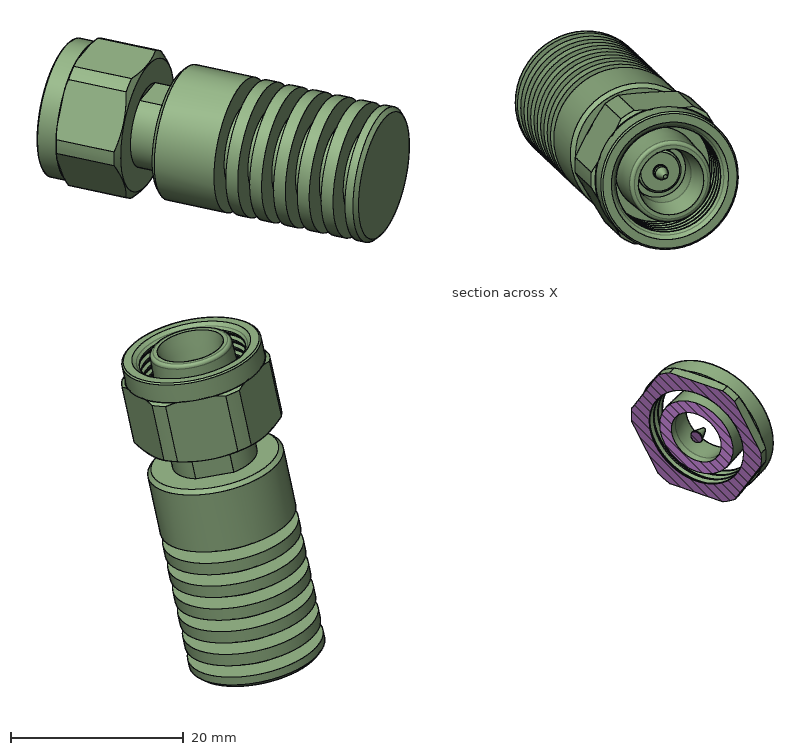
import cadquery as cq
import math


length = 40.8
sink_radius = 8.05
sink_start = 14.8
sink_core_radius = 5.0
sink_chamfer = 0.5
fin_count = 6
ribbed_length = 18.0
fin_pitch = ribbed_length / fin_count
fin_gap = fin_pitch / 2
fin_thickness = fin_pitch - fin_gap

nut_front = 0.55
flange_radius = 8.25
flange_end = 3.0
flange_bevel_length = 0.15
flange_bevel_depth = 0.2
nut_end = 11.0
hex_across_flats = 16.0
hex_corner_diameter = 17.5
hex_corner_radius = hex_corner_diameter / 2
hex_bevel_angle = 30.0
hex_bevel_length = 0.5
hex_front_bevel_length = 0.25
mouth_radius = 7.0
mouth_chamfer_length = 0.4
mouth_chamfer_depth = 0.45

thread_crest_radius = 6.3
thread_pitch = 0.98
thread_depth = 0.33
crest_width = 0.2
groove_count = 5
thread_root_radius = thread_crest_radius + thread_depth

mouth_chamfer_end = nut_front + mouth_chamfer_length
mouth_chamfer_radius = mouth_radius - mouth_chamfer_depth
first_crest = mouth_chamfer_end + mouth_chamfer_radius - thread_crest_radius

gasket_thickness = 0.8
gasket_front = first_crest + groove_count * thread_pitch + crest_width
gasket_end = gasket_front + gasket_thickness

sleeve_tip_radius = 4.85
sleeve_fillet = 0.45
neck_radius = sink_core_radius
neck_across_flats = 8.98
collar_end = 8.98
socket_mouth_radius = 3.9
socket_radius = 3.3
socket_taper_length = 3.43
socket_depth = 6.0

insulator_radius = 2.55
insulator_chamfer = 0.25
insulator_front = 4.98
insulator_end = collar_end
pin_radius = 0.85
pin_tip_radius = 0.25
pin_taper_radius = 0.78
pin_tip = 2.55
pin_taper_length = 1.65
pin_shoulder_length = 0.25
pin_shoulder = insulator_front - pin_shoulder_length


def revolve(profile):
    """Turn an (x, radius) profile about the X axis."""
    return profile.close().revolve(360, (0, 0, 0), (1, 0, 0))


def turned(points):
    """Turn a straight-sided (x, radius) outline about the X axis."""
    return revolve(cq.Workplane("XZ").polyline(points))


def bar(start, end, radius):
    """Plain cylinder along X."""
    return cq.Workplane("YZ", origin=(start, 0, 0)).circle(radius).extrude(end - start)


def tube(start, end, outer_radius, inner_radius):
    """Hollow cylinder along X."""
    ring = cq.Workplane("YZ", origin=(start, 0, 0)).circle(outer_radius).circle(inner_radius)
    return ring.extrude(end - start)


def make_heat_sink():
    sink = bar(sink_start, length, sink_radius).faces("<X or >X").chamfer(sink_chamfer)
    for index in range(fin_count):
        gap_end = length - fin_thickness - index * fin_pitch
        sink = sink.cut(tube(gap_end - fin_gap, gap_end, sink_radius, sink_core_radius))
    return sink


def make_nut_blank():
    """Round front flange joined to a hexagon whose corners are turned and bevelled."""
    flange = turned([
        (nut_front, 0),
        (nut_front, flange_radius - flange_bevel_depth),
        (nut_front + flange_bevel_length, flange_radius),
        (flange_end, flange_radius),
        (flange_end, 0),
    ])
    sharp_corner_diameter = hex_across_flats / math.cos(math.pi / 6)
    hexagon = cq.Workplane("YZ", origin=(flange_end, 0, 0)).polygon(6, sharp_corner_diameter)
    hexagon = hexagon.extrude(nut_end - flange_end)
    bevel_slope = 1 / math.tan(math.radians(hex_bevel_angle))
    envelope = turned([
        (flange_end, 0),
        (flange_end, hex_corner_radius - hex_front_bevel_length * bevel_slope),
        (flange_end + hex_front_bevel_length, hex_corner_radius),
        (nut_end - hex_bevel_length, hex_corner_radius),
        (nut_end, hex_corner_radius - hex_bevel_length * bevel_slope),
        (nut_end, 0),
    ])
    return flange.union(hexagon.intersect(envelope))


def make_nut_bore():
    """Chamfered mouth, grooved thread, collar chamber and neck clearance hole."""
    points = [
        (nut_front, 0),
        (nut_front, mouth_radius),
        (mouth_chamfer_end, mouth_chamfer_radius),
        (first_crest, thread_crest_radius),
    ]
    for index in range(groove_count):
        groove_start = first_crest + index * thread_pitch + crest_width
        groove_end = first_crest + (index + 1) * thread_pitch
        points += [
            (groove_start, thread_crest_radius),
            (groove_start + thread_depth, thread_root_radius),
            (groove_end - thread_depth, thread_root_radius),
            (groove_end, thread_crest_radius),
        ]
    points += [
        (collar_end, thread_crest_radius),
        (collar_end, neck_radius),
        (nut_end, neck_radius),
        (nut_end, 0),
    ]
    return turned(points)


def make_gasket():
    return tube(gasket_front, gasket_end, thread_crest_radius, neck_radius)


def make_body():
    fillet_middle = sleeve_fillet * (1 - math.sqrt(0.5))
    outer = revolve(
        cq.Workplane("XZ")
        .moveTo(0, 0)
        .lineTo(0, sleeve_tip_radius - sleeve_fillet)
        .threePointArc(
            (fillet_middle, sleeve_tip_radius - fillet_middle),
            (sleeve_fillet, sleeve_tip_radius),
        )
        .lineTo(gasket_front, neck_radius)
        .lineTo(gasket_end, neck_radius)
        .lineTo(gasket_end, thread_crest_radius)
        .lineTo(collar_end, thread_crest_radius)
        .lineTo(collar_end, neck_radius)
        .lineTo(sink_start, neck_radius)
        .lineTo(sink_start, 0)
    )
    socket = turned([
        (0, 0),
        (0, socket_mouth_radius),
        (socket_taper_length, socket_radius),
        (socket_depth, socket_radius),
        (socket_depth, insulator_radius),
        (insulator_end, insulator_radius),
        (insulator_end, 0),
    ])
    neck_length = sink_start - nut_end
    flats = (
        cq.Workplane("YZ", origin=(nut_end, 0, 0))
        .rect(2 * neck_radius, 2 * neck_radius)
        .rect(2 * neck_radius, neck_across_flats)
        .extrude(neck_length)
    )
    return outer.cut(socket).cut(flats)


def make_pin():
    return turned([
        (pin_tip, 0),
        (pin_tip, pin_tip_radius),
        (pin_tip + pin_taper_length, pin_taper_radius),
        (pin_shoulder, pin_taper_radius),
        (pin_shoulder, pin_radius),
        (insulator_end, pin_radius),
        (insulator_end, 0),
    ])


def make_insulator():
    plug = bar(insulator_front, insulator_end, insulator_radius).faces("<X").chamfer(insulator_chamfer)
    return plug.cut(bar(insulator_front, insulator_end, pin_radius))


heat_sink = make_heat_sink()
nut = make_nut_blank().cut(make_nut_bore())
gasket = make_gasket()
body = make_body()
insulator = make_insulator()
pin = make_pin()

result = cq.Compound.makeCompound(
    [heat_sink.val(), nut.val(), gasket.val(), body.val(), insulator.val(), pin.val()]
)